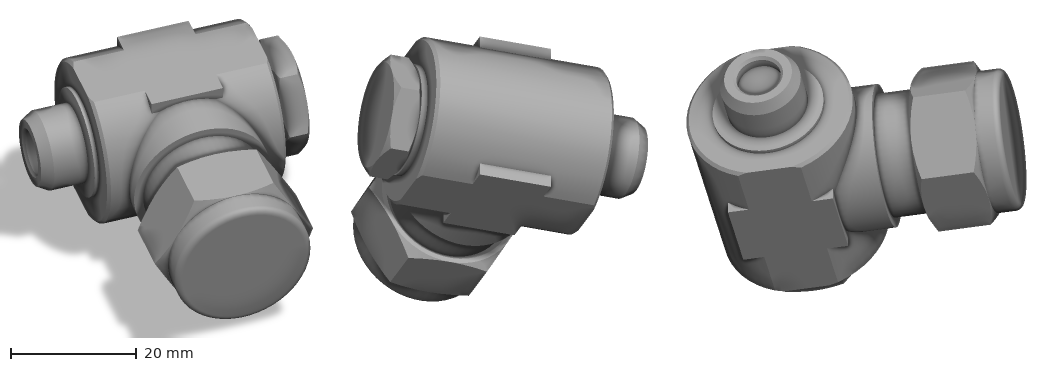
import cadquery as cq
import math

body_radius = 13.5
body_half_length = 15.0
body_edge_chamfer = 0.5
body_half_height = 12.5

pad_half_width = 8.5
pad_half_length = 6.0
pad_thickness = 2.0

collar_radius = 11.5
collar_end = 16.0
neck_radius = 9.95
nut_start = 22.0
nut_end = 32.5
nut_across_flats = 23.0
nut_recess_radius = 10.75
nut_recess_depth = nut_recess_radius - neck_radius
sleeve_radius = 11.4
sleeve_end = 36.5
sleeve_edge_round = 1.0

washer_radius = 9.0
washer_thickness = 1.0
washer_rim_thickness = 0.7
head_across_flats = 17.0
head_height = 4.5
spigot_radius = 6.55
spigot_tip_radius = 5.5
spigot_taper_length = 1.85
spigot_length = 7.5
bore_radius = 3.6
bore_mouth_chamfer = 0.45
bore_depth = 2.0

hex_half_sector = math.radians(30)
hex_chamfer_angle = math.radians(30)


def revolve_about_y(points):
    """Turn a closed (radius, y) outline about the Y axis."""
    return cq.Workplane("XY").polyline(points).close().revolve(360, (0, 0), (0, 1))


def cylinder_along_x(radius, start, end):
    return cq.Workplane("YZ").workplane(offset=start).circle(radius).extrude(end - start)


def chamfered_hexagon(across_flats, height):
    """Hexagon along Z with corners on +-X and both ends coned down to the inscribed circle."""
    inner_radius = across_flats / 2
    corner_radius = inner_radius / math.cos(hex_half_sector)
    chamfer_drop = (corner_radius - inner_radius) * math.tan(hex_chamfer_angle)
    prism = cq.Workplane("XY").polygon(6, 2 * corner_radius).extrude(height)
    coned_blank = (
        cq.Workplane("XZ")
        .polyline([
            (0, 0),
            (inner_radius, 0),
            (corner_radius, chamfer_drop),
            (corner_radius, height - chamfer_drop),
            (inner_radius, height),
            (0, height),
        ])
        .close()
        .revolve(360, (0, 0), (0, 1))
    )
    return prism.intersect(coned_blank)


def swivel_body():
    cylinder = (
        cq.Workplane("XZ")
        .circle(body_radius)
        .extrude(body_half_length, both=True)
        .edges()
        .chamfer(body_edge_chamfer)
    )
    flats = cq.Workplane("XY").box(2 * body_radius, 2 * body_half_length, 2 * body_half_height)
    body = cylinder.intersect(flats)
    for side in (1, -1):
        pad = (
            cq.Workplane("XY")
            .box(2 * pad_half_width, 2 * pad_half_length, pad_thickness)
            .translate((0, 0, side * (body_half_height - pad_thickness / 2)))
        )
        body = body.union(pad)
    return body


def side_branch():
    collar = cylinder_along_x(collar_radius, 0, collar_end)
    neck = cylinder_along_x(neck_radius, 0, nut_end)
    nut = (
        chamfered_hexagon(nut_across_flats, nut_end - nut_start)
        .rotate((0, 0, 0), (0, 0, 1), 90)
        .rotate((0, 0, 0), (0, 1, 0), 90)
        .translate((nut_start, 0, 0))
    )
    recess = (
        cq.Workplane("XY")
        .polyline([
            (nut_start, 0),
            (nut_start, nut_recess_radius),
            (nut_start + nut_recess_depth, neck_radius),
            (nut_start + nut_recess_depth, 0),
        ])
        .close()
        .revolve(360, (0, 0), (1, 0))
    )
    sleeve = (
        cylinder_along_x(sleeve_radius, nut_end, sleeve_end)
        .faces(">X")
        .edges()
        .fillet(sleeve_edge_round)
    )
    return nut.cut(recess).union(collar).union(neck).union(sleeve)


def bolt_head():
    washer_end = body_half_length + washer_thickness
    washer = revolve_about_y([
        (0, body_half_length),
        (washer_radius, body_half_length),
        (washer_radius, washer_end),
        (0, washer_end),
    ])
    head = (
        chamfered_hexagon(head_across_flats, head_height)
        .rotate((0, 0, 0), (1, 0, 0), -90)
        .translate((0, washer_end, 0))
    )
    return washer.union(head)


def bolt_spigot():
    washer_end = -body_half_length - washer_thickness
    tip = washer_end - spigot_length
    return revolve_about_y([
        (0, -body_half_length),
        (washer_radius, -body_half_length),
        (washer_radius, -body_half_length - washer_rim_thickness),
        (spigot_radius, washer_end),
        (spigot_radius, tip + spigot_taper_length),
        (spigot_tip_radius, tip),
        (bore_radius + bore_mouth_chamfer, tip),
        (bore_radius, tip + bore_mouth_chamfer),
        (bore_radius, tip + bore_depth),
        (0, tip + bore_depth),
    ])


result = swivel_body().union(side_branch()).union(bolt_head()).union(bolt_spigot())